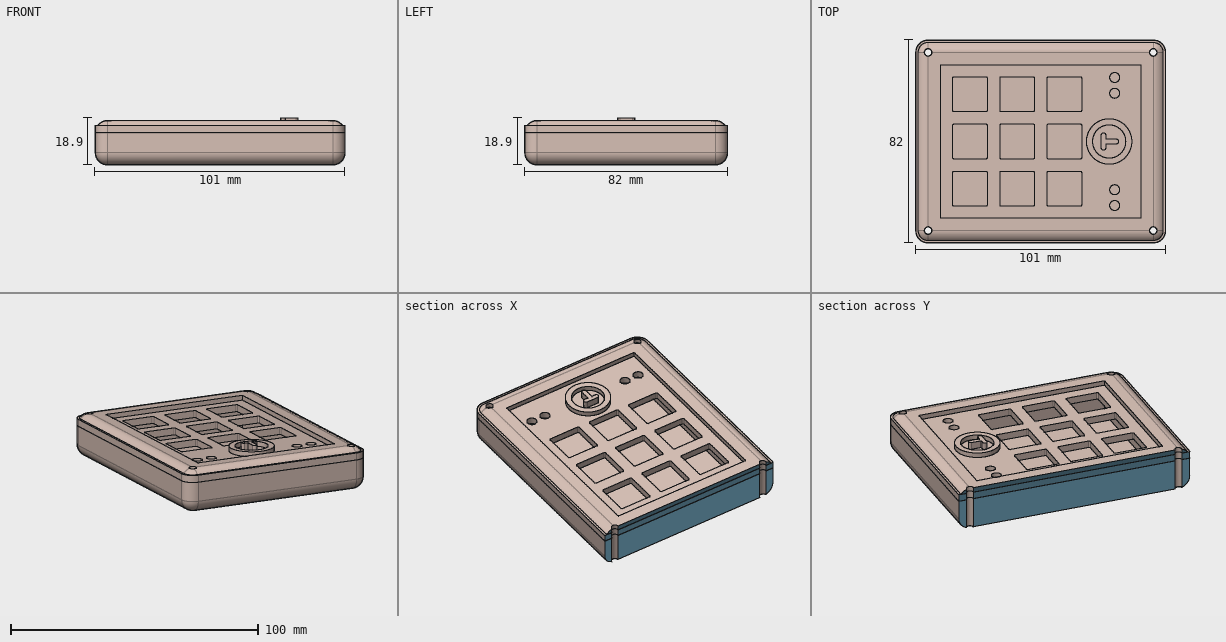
import cadquery as cq

length = 101.0
width = 82.0
base_height = 13.0
plate_thickness = 2.9
bezel_thickness = 2.0

border = 10.0
edge_radius = border / 2
screw_inset = border / 2
screw_hole_diameter = 2.9
opening_length = length - 2 * border
opening_width = width - 2 * border
base_floor = 3.0

key_size = 14.0
key_corner_radius = 0.5
key_pitch = 19.1
key_count = 3
key_grid_x = -9.5

light_diameter = 4.0
light_x = 29.9
light_inner_y = 19.5
light_outer_y = 25.9

ring_x = 27.7
ring_outer_diameter = 18.4
ring_inner_diameter = 13.4
ring_height = 2.0
post_height = 3.0
post_arm_width = 1.9
post_bar_length = 7.0
post_left_x = 24.4
post_right_x = 31.5

plate_top = base_height + plate_thickness
enclosure_height = plate_top + bezel_thickness


def slab(x_size, y_size, bottom, top):
    """Plain block centred on the Z axis between two levels."""
    return cq.Workplane("XY", origin=(0, 0, bottom)).box(
        x_size, y_size, top - bottom, centered=(True, True, False)
    )


def drill_screw_holes(body):
    """Cut the four corner screw holes right through a layer."""
    holes = (
        cq.Workplane("XY")
        .rect(length - 2 * screw_inset, width - 2 * screw_inset, forConstruction=True)
        .vertices()
        .circle(screw_hole_diameter / 2)
        .extrude(enclosure_height)
    )
    return body.cut(holes)


def rounded_layer(bottom, top):
    """Slice, between two levels, of the full enclosure block rounded on every edge."""
    block = slab(length, width, 0, enclosure_height).edges().fillet(edge_radius)
    return block.intersect(slab(length, width, bottom, top))


def make_base():
    """Open tray with rounded bottom edges."""
    tray = rounded_layer(0, base_height)
    cavity = slab(opening_length, opening_width, base_floor, base_height)
    return drill_screw_holes(tray.cut(cavity))


def make_bezel():
    """Frame with a rounded upper rim around the key area."""
    frame = rounded_layer(plate_top, enclosure_height)
    window = slab(opening_length, opening_width, plate_top, enclosure_height)
    return drill_screw_holes(frame.cut(window))


def key_openings():
    """Square through openings for the key switches."""
    return (
        cq.Workplane("XY", origin=(key_grid_x, 0, base_height))
        .rarray(key_pitch, key_pitch, key_count, key_count)
        .rect(key_size, key_size)
        .extrude(plate_thickness)
        .edges("|Z")
        .fillet(key_corner_radius)
    )


def light_holes():
    """Round through holes for the indicator lights."""
    centres = [(light_x, side * y) for side in (-1, 1) for y in (light_inner_y, light_outer_y)]
    return (
        cq.Workplane("XY", origin=(0, 0, base_height))
        .pushPoints(centres)
        .circle(light_diameter / 2)
        .extrude(plate_thickness)
    )


def raised_ring():
    """Low ring standing on the plate."""
    return (
        cq.Workplane("XY", origin=(ring_x, 0, plate_top))
        .circle(ring_outer_diameter / 2)
        .circle(ring_inner_diameter / 2)
        .extrude(ring_height)
    )


def t_post():
    """T-shaped post with round arm ends: a bar along Y and a stem toward +X."""
    bar_x = post_left_x + post_arm_width / 2
    stem_length = post_right_x - post_left_x
    stem_x = (post_left_x + post_right_x) / 2
    bar = (
        cq.Workplane("XY", origin=(bar_x, 0, plate_top))
        .slot2D(post_bar_length, post_arm_width, 90)
        .extrude(post_height)
    )
    stem = (
        cq.Workplane("XY", origin=(stem_x, 0, plate_top))
        .slot2D(stem_length, post_arm_width)
        .extrude(post_height)
    )
    return bar.union(stem)


def make_key_plate():
    """Flat plate with key and light openings, the raised ring and the T-shaped post."""
    plate = slab(length, width, base_height, plate_top).edges("|Z").fillet(edge_radius)
    plate = plate.cut(key_openings()).cut(light_holes())
    plate = plate.union(raised_ring()).union(t_post())
    return drill_screw_holes(plate)


base = make_base()
key_plate = make_key_plate()
bezel = make_bezel()

result = cq.Compound.makeCompound([body.solids().val() for body in (base, key_plate, bezel)])